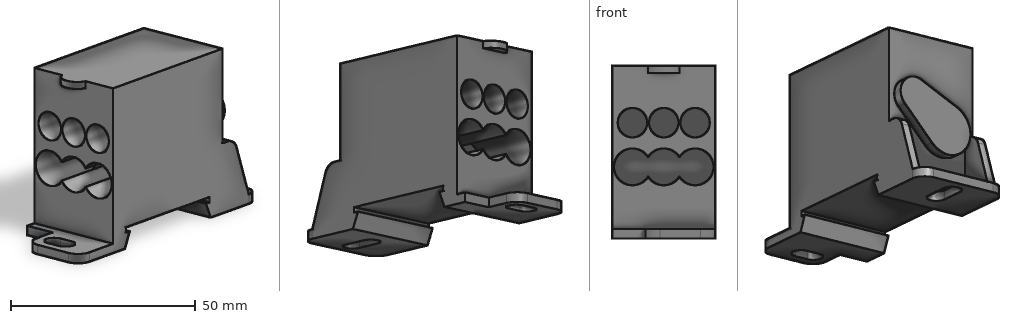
import cadquery as cq
import math

WIDTH = 28.0
BODY_LENGTH = 46.0
HEIGHT = 47.0
MID_X = WIDTH / 2

PLATE_THICKNESS = 2.7
TAB_CORNER_RADIUS = 4.0
FRONT_TAB_REACH = 14.0
FRONT_LEDGE_REACH = 3.0
FRONT_TAB_LEFT = 9.0
REAR_TAB_REACH = 15.0
REAR_TAB_END = BODY_LENGTH + REAR_TAB_REACH

SLOT_WIDTH = 5.3
FRONT_SLOT_LENGTH = 9.3
FRONT_SLOT_X = 16.1
FRONT_SLOT_MARGIN = 3.0
REAR_SLOT_MARGIN = 2.5
REAR_SLOT_LENGTH = REAR_TAB_REACH - REAR_SLOT_MARGIN

WING_THICKNESS = 2.5
WING_HEIGHT = 20.0
WING_TOP_REACH = 5.0
WING_FOOT_REACH = REAR_TAB_REACH - TAB_CORNER_RADIUS
WING_CORNER_RADIUS = 4.0

RAIL_WIDTH = 35.0
RAIL_FRONT = 5.5
CHANNEL_TOP = 6.0
LIP_TOP = 4.5
LIP_OVERHANG = 1.5
MOUTH_FLARE = 0.5

HOLE_PITCH = 8.5
HOLE_COUNT = 3
HOLE_DEPTH = 20.0
UPPER_HOLE_DIAMETER = 8.0
UPPER_HOLE_Z = 31.5
LOWER_HOLE_DIAMETER = 10.0
LOWER_HOLE_Z = 19.5

FINGER_LIP_DIAMETER = 9.0
FINGER_LIP_REACH = 3.0
FINGER_LIP_THICKNESS = 2.0

PAD_THICKNESS = 3.0
PAD_LARGE_RADIUS = 15.0 / 2
PAD_LARGE_CENTER = (10.4, 20.6)
PAD_SMALL_RADIUS = 5.0
PAD_SMALL_CENTER = (21.25, 28.25)


def block(x_range, y_range, z_range):
    """Axis-aligned box between the given limits."""
    (x0, x1), (y0, y1), (z0, z1) = x_range, y_range, z_range
    return cq.Workplane("XY").box(x1 - x0, y1 - y0, z1 - z0, centered=False).translate((x0, y0, z0))


def make_housing():
    return block((0, WIDTH), (0, BODY_LENGTH), (0, HEIGHT))


def make_front_tab():
    ledge = block((0, WIDTH), (-FRONT_LEDGE_REACH, 0), (0, PLATE_THICKNESS))
    tab = block((FRONT_TAB_LEFT, WIDTH), (-FRONT_TAB_REACH, 0), (0, PLATE_THICKNESS))
    tab = tab.edges("|Z and <Y").fillet(TAB_CORNER_RADIUS)
    slot_y = -FRONT_TAB_REACH + FRONT_SLOT_MARGIN + SLOT_WIDTH / 2
    slot = (
        cq.Workplane("XY")
        .center(FRONT_SLOT_X, slot_y)
        .slot2D(FRONT_SLOT_LENGTH, SLOT_WIDTH)
        .extrude(PLATE_THICKNESS)
    )
    return ledge.union(tab).cut(slot)


def make_rear_tab():
    tab = block((0, WIDTH), (BODY_LENGTH, REAR_TAB_END), (0, PLATE_THICKNESS))
    tab = tab.edges("|Z and >Y").fillet(TAB_CORNER_RADIUS)
    slot = (
        cq.Workplane("XY")
        .center(MID_X, BODY_LENGTH + REAR_SLOT_LENGTH / 2)
        .slot2D(REAR_SLOT_LENGTH, SLOT_WIDTH, 90)
        .extrude(PLATE_THICKNESS)
    )
    return tab.cut(slot)


def make_wing(left_x):
    """Side wall with a sloping rear edge and a rounded upper corner."""
    wing = (
        cq.Workplane("YZ", origin=(left_x, 0, 0))
        .moveTo(BODY_LENGTH, 0)
        .lineTo(BODY_LENGTH + WING_FOOT_REACH, 0)
        .lineTo(BODY_LENGTH + WING_FOOT_REACH, PLATE_THICKNESS)
        .lineTo(BODY_LENGTH + WING_TOP_REACH, WING_HEIGHT)
        .lineTo(BODY_LENGTH, WING_HEIGHT)
        .close()
        .extrude(WING_THICKNESS)
    )
    return wing.faces(">Z").edges(">Y").fillet(WING_CORNER_RADIUS)


def make_finger_lip():
    center_y = FINGER_LIP_DIAMETER / 2 - FINGER_LIP_REACH
    return (
        cq.Workplane("XY", origin=(MID_X, center_y, HEIGHT - FINGER_LIP_THICKNESS))
        .circle(FINGER_LIP_DIAMETER / 2)
        .extrude(FINGER_LIP_THICKNESS)
    )


def make_rear_pad():
    (large_x, large_z), (small_x, small_z) = PAD_LARGE_CENTER, PAD_SMALL_CENTER
    axis_angle = math.atan2(small_z - large_z, small_x - large_x)
    center_distance = math.hypot(small_x - large_x, small_z - large_z)
    contact_angle = math.acos((PAD_LARGE_RADIUS - PAD_SMALL_RADIUS) / center_distance)

    def on_large(angle):
        return (
            large_x + PAD_LARGE_RADIUS * math.cos(angle),
            large_z + PAD_LARGE_RADIUS * math.sin(angle),
        )

    def on_small(angle):
        return (
            small_x + PAD_SMALL_RADIUS * math.cos(angle),
            small_z + PAD_SMALL_RADIUS * math.sin(angle),
        )

    upper_angle = axis_angle + contact_angle
    lower_angle = axis_angle - contact_angle
    return (
        cq.Workplane("XZ", origin=(0, BODY_LENGTH, 0))
        .moveTo(*on_large(upper_angle))
        .lineTo(*on_small(upper_angle))
        .threePointArc(on_small(axis_angle), on_small(lower_angle))
        .lineTo(*on_large(lower_angle))
        .threePointArc(on_large(axis_angle + math.pi), on_large(upper_angle))
        .close()
        .extrude(-PAD_THICKNESS)
    )


def make_rail_channel():
    """Channel across the full width, with lips undercut to grip a rail."""
    rail_rear = RAIL_FRONT + RAIL_WIDTH
    return (
        cq.Workplane("YZ")
        .moveTo(RAIL_FRONT - MOUTH_FLARE, 0)
        .lineTo(RAIL_FRONT + LIP_OVERHANG, LIP_TOP)
        .lineTo(RAIL_FRONT, LIP_TOP)
        .lineTo(RAIL_FRONT, CHANNEL_TOP)
        .lineTo(rail_rear, CHANNEL_TOP)
        .lineTo(rail_rear, LIP_TOP)
        .lineTo(rail_rear - LIP_OVERHANG, LIP_TOP)
        .lineTo(rail_rear + MOUTH_FLARE, 0)
        .close()
        .extrude(WIDTH)
    )


def make_hole_row(diameter, center_z):
    """Row of blind holes; holes wider than the pitch merge into one cavity."""
    row = cq.Workplane()
    for index in range(HOLE_COUNT):
        hole_x = MID_X + (index - (HOLE_COUNT - 1) / 2) * HOLE_PITCH
        hole = cq.Workplane("XZ").center(hole_x, center_z).circle(diameter / 2).extrude(-HOLE_DEPTH)
        row = row.union(hole)
    return row


result = make_housing().union(make_front_tab()).union(make_rear_tab())
for wing_x in (0, WIDTH - WING_THICKNESS):
    result = result.union(make_wing(wing_x))
result = result.union(make_finger_lip()).union(make_rear_pad())
result = result.cut(make_rail_channel())
result = result.cut(make_hole_row(UPPER_HOLE_DIAMETER, UPPER_HOLE_Z))
result = result.cut(make_hole_row(LOWER_HOLE_DIAMETER, LOWER_HOLE_Z))